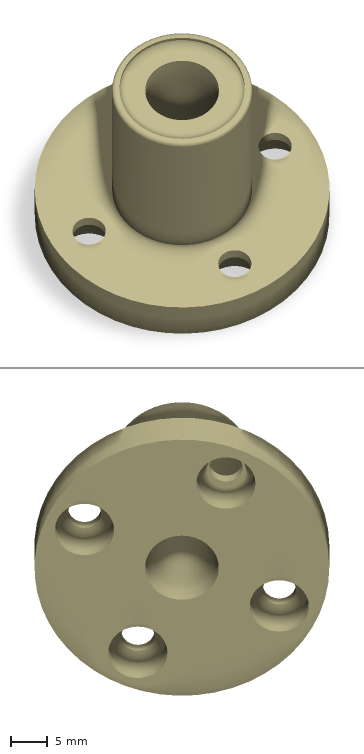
import cadquery as cq

flange_diameter = 40.0
flange_thickness = 6.0

overall_height = 29.0
sleeve_diameter = 19.0
sleeve_edge_radius = 0.5
bore_diameter = 10.0

recess_diameter = 17.0
recess_depth = 0.5

hole_count = 4
hole_circle_diameter = 29.0
hole_diameter = 4.5
counterbore_diameter = 8.0
counterbore_depth = 4.4


def make_flange():
    return cq.Workplane("XY").circle(flange_diameter / 2).extrude(flange_thickness)


def make_sleeve():
    sleeve = cq.Workplane("XY").circle(sleeve_diameter / 2).extrude(overall_height)
    return sleeve.faces(">Z").edges().fillet(sleeve_edge_radius)


def make_recess():
    floor = cq.Workplane("XY").workplane(offset=overall_height - recess_depth)
    return floor.circle(recess_diameter / 2).extrude(recess_depth)


def make_bore():
    return cq.Workplane("XY").circle(bore_diameter / 2).extrude(overall_height)


def make_pin_circle(diameter, height):
    centers = cq.Workplane("XY").polarArray(hole_circle_diameter / 2, 0, 360, hole_count)
    return centers.circle(diameter / 2).extrude(height)


def make_mounting_holes():
    through_holes = make_pin_circle(hole_diameter, flange_thickness)
    counterbores = make_pin_circle(counterbore_diameter, counterbore_depth)
    return through_holes.union(counterbores)


body = make_flange().union(make_sleeve())
result = body.cut(make_recess()).cut(make_bore()).cut(make_mounting_holes())